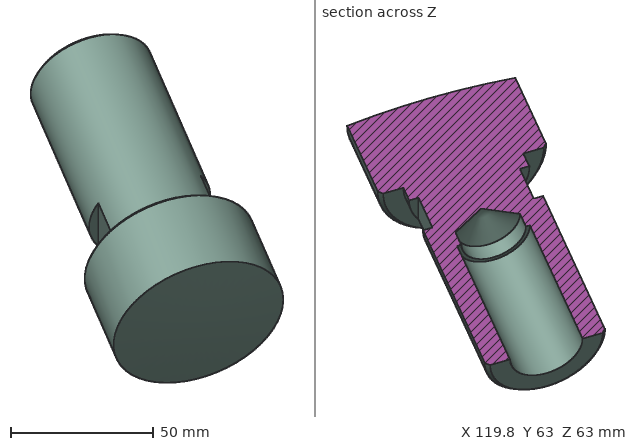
import cadquery as cq
import math

shank_diameter = 45.0
shank_length = 85.0
head_diameter = 63.0
head_length = 33.0
dome_radius = 280.0
edge_chamfer = 1.5

flat_width = 14.0
flat_gap_to_head = 6.0
across_flats = 38.0

bore_diameter = 27.0
bore_depth = 54.0
drill_diameter = 24.0
drill_depth = 60.0
drill_point_angle = 120.0


def turned_body():
    """Shank and head as one revolve, closed by a shallow spherical dome."""
    shank_radius = shank_diameter / 2
    head_radius = head_diameter / 2
    head_end = shank_length + head_length
    dome_center = head_end - math.sqrt(dome_radius**2 - head_radius**2)
    dome_mid_radius = head_radius / 2
    dome_mid_x = dome_center + math.sqrt(dome_radius**2 - dome_mid_radius**2)
    return (
        cq.Workplane("XY")
        .moveTo(0, 0)
        .lineTo(0, shank_radius - edge_chamfer)
        .lineTo(edge_chamfer, shank_radius)
        .lineTo(shank_length, shank_radius)
        .lineTo(shank_length, head_radius - edge_chamfer)
        .lineTo(shank_length + edge_chamfer, head_radius)
        .lineTo(head_end, head_radius)
        .threePointArc((dome_mid_x, dome_mid_radius), (dome_center + dome_radius, 0))
        .close()
        .revolve(360, (0, 0, 0), (1, 0, 0))
    )


def blind_hole():
    """Bore, narrower drilled hole behind it and the conical drill point."""
    bore_radius = bore_diameter / 2
    drill_radius = drill_diameter / 2
    point_length = drill_radius / math.tan(math.radians(drill_point_angle / 2))
    return (
        cq.Workplane("XY")
        .moveTo(0, 0)
        .lineTo(0, bore_radius)
        .lineTo(bore_depth, bore_radius)
        .lineTo(bore_depth, drill_radius)
        .lineTo(drill_depth, drill_radius)
        .lineTo(drill_depth + point_length, 0)
        .close()
        .revolve(360, (0, 0, 0), (1, 0, 0))
    )


def wrench_flat_cutter(side):
    """Block that cuts one flat; side is +1 or -1 along Y."""
    cut_depth = (shank_diameter - across_flats) / 2
    center_x = shank_length - flat_gap_to_head - flat_width / 2
    center_y = side * (across_flats + cut_depth) / 2
    return (
        cq.Workplane("XY")
        .box(flat_width, cut_depth, shank_diameter)
        .translate((center_x, center_y, 0))
    )


result = turned_body().cut(blind_hole())
for flat_side in (1, -1):
    result = result.cut(wrench_flat_cutter(flat_side))